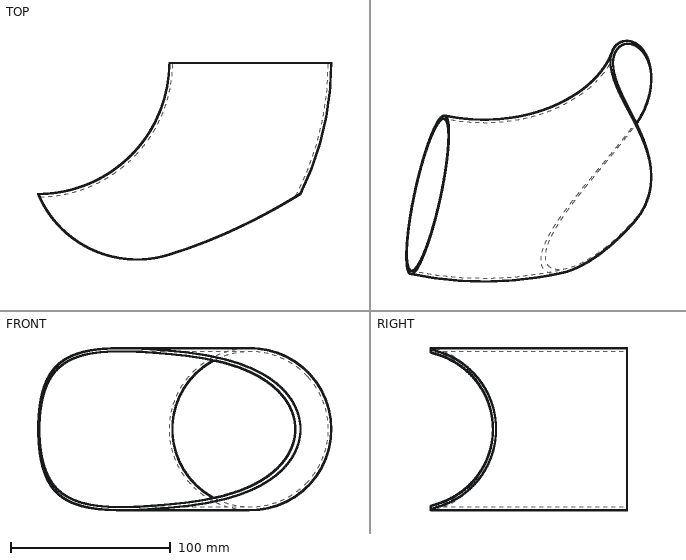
import cadquery as cq

bend_outer_radius = 183.8
tube_diameter = 101.6
tube_radius = tube_diameter / 2
wall = 2.0
bend_radius = bend_outer_radius - tube_radius
bend_inner_radius = bend_radius - tube_radius

lip_tangent_x = 81.8


def saddle_y(x):
    return x**2 / (4 * bend_radius) - bend_radius


def saddle_slope(x):
    return x / (2 * bend_radius)


def quarter_bend(section_radius):
    """Solid quarter torus from the inlet at Y = 0 round to X = 0."""
    return (
        cq.Workplane("XZ")
        .center(bend_radius, 0)
        .circle(section_radius)
        .revolve(90, (-bend_radius, 1.8, 0), (-bend_radius, 0, 0))
    )


def saddle_envelope():
    """Prism along Z whose lower outline trims the bend to the saddle."""
    half_span = (bend_outer_radius - lip_tangent_x) / 2
    lip_end = (lip_tangent_x, saddle_y(lip_tangent_x))
    control = (lip_tangent_x + half_span, lip_end[1] + half_span * saddle_slope(lip_tangent_x))
    far_end = (bend_outer_radius, saddle_y(bend_outer_radius))
    return (
        cq.Workplane("XY")
        .moveTo(bend_outer_radius, 0)
        .lineTo(*far_end)
        .bezier([control, lip_end], includeCurrent=True)
        .tangentArcPoint((0, -bend_inner_radius), relative=False)
        .lineTo(0, 0)
        .close()
        .extrude(tube_radius, both=True)
    )


tube = quarter_bend(tube_radius).cut(quarter_bend(tube_radius - wall))
result = tube.intersect(saddle_envelope())